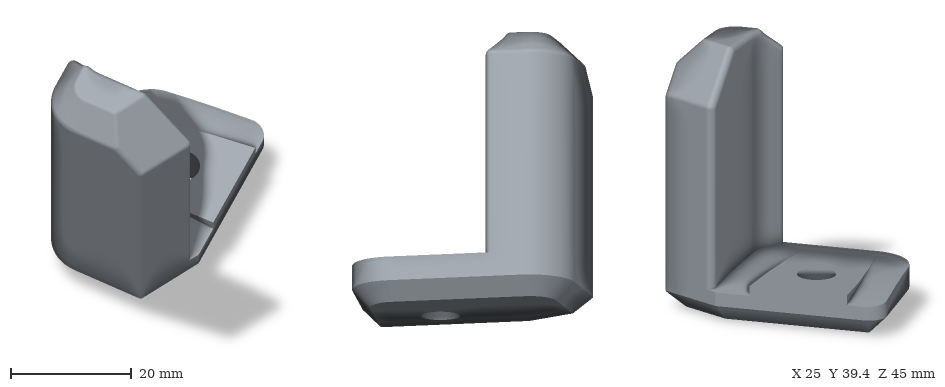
import cadquery as cq
import math

LEFT_X = -15.25
WIDTH = 25.0
RIGHT_X = LEFT_X + WIDTH
PLATE_HEIGHT = 7.0
BEVEL = 3.0
REAR_LEFT_Y = 12.65
FRONT_LEFT_Y = -23.55
SLANT_START_Y = -14.4
SIDE_ANGLE = 4.5
SLANT_ANGLE = 62.0
LEFT_RADIUS = 7.45
REAR_RIGHT_RADIUS = 3.05
HOLE_DIAMETER = 6.5

RAMP_START_X = LEFT_X + 2.15
RAMP_MIDDLE_X = LEFT_X + 14.35
RAMP_DEPTH = 1.65
STRIP_START_HALF = 6.15
STRIP_MIDDLE_HALF = 7.8
STRIP_END_HALF = 8.45

CUTTER_REACH = 45.0

TOTAL_HEIGHT = 45.0
TOP_BEVEL = 4.0
SLANT_BEVEL = 8.0
EDGE_RADIUS = 1.0
BACK_BEND_X = LEFT_X + 6.85
BACK_BEND_Y = -13.65
BACK_RADIUS = 6.0
BACK_END_ANGLE = 40.0

SIDE_SLOPE = math.tan(math.radians(SIDE_ANGLE))
SLANT_SLOPE = math.tan(math.radians(SLANT_ANGLE))
REAR_RIGHT_Y = REAR_LEFT_Y + WIDTH * SIDE_SLOPE
SLANT_END_X = LEFT_X + (SLANT_SLOPE * WIDTH - SLANT_START_Y + FRONT_LEFT_Y) / (SLANT_SLOPE + SIDE_SLOPE)
SLANT_END_Y = FRONT_LEFT_Y - (SLANT_END_X - LEFT_X) * SIDE_SLOPE


def edge_at(x, y):
    """Selector for the upright edge nearest to a point in plan."""
    return cq.selectors.NearestToPointSelector((x, y, TOTAL_HEIGHT / 2))


def plate_prism(height):
    prism = (
        cq.Workplane("XY")
        .polyline([
            (LEFT_X, REAR_LEFT_Y),
            (LEFT_X, FRONT_LEFT_Y),
            (SLANT_END_X, SLANT_END_Y),
            (RIGHT_X, SLANT_START_Y),
            (RIGHT_X, REAR_RIGHT_Y),
        ])
        .close()
        .extrude(height)
    )
    prism = prism.edges("|Z and <X").fillet(LEFT_RADIUS)
    return prism.edges("|Z").edges(edge_at(RIGHT_X, REAR_RIGHT_Y)).fillet(REAR_RIGHT_RADIUS)


def ramp_pocket(side):
    """Space above one sunken ramp; side is +1 for the rear, -1 for the front."""
    length = RIGHT_X - RAMP_START_X
    radius = (length**2 + RAMP_DEPTH**2) / (2 * RAMP_DEPTH)
    middle_drop = radius - math.sqrt(radius**2 - (length / 2)**2)
    plan = (
        cq.Workplane("XY")
        .moveTo(RAMP_START_X, side * STRIP_START_HALF)
        .threePointArc((RAMP_MIDDLE_X, side * STRIP_MIDDLE_HALF), (RIGHT_X, side * STRIP_END_HALF))
        .lineTo(RIGHT_X, side * CUTTER_REACH)
        .lineTo(RAMP_START_X, side * CUTTER_REACH)
        .close()
        .extrude(PLATE_HEIGHT)
    )
    space_above = (
        cq.Workplane("XZ")
        .moveTo(RAMP_START_X, PLATE_HEIGHT)
        .threePointArc(
            (RAMP_START_X + length / 2, PLATE_HEIGHT - middle_drop),
            (RIGHT_X, PLATE_HEIGHT - RAMP_DEPTH),
        )
        .lineTo(RIGHT_X, PLATE_HEIGHT)
        .close()
        .extrude(CUTTER_REACH, both=True)
    )
    return plan.intersect(space_above)


def make_plate():
    plate = plate_prism(PLATE_HEIGHT).faces("<Z").chamfer(BEVEL)
    plate = plate.edges("|Z").edges(edge_at(SLANT_END_X, SLANT_END_Y)).fillet(EDGE_RADIUS)
    for side in (1, -1):
        plate = plate.cut(ramp_pocket(side))
    hole = cq.Workplane("XY").circle(HOLE_DIAMETER / 2).extrude(PLATE_HEIGHT)
    return plate.cut(hole)


def upright_plan():
    """Region in front of the back face: straight, then curving rearwards at the left."""
    start = math.radians(SIDE_ANGLE)
    end = math.radians(BACK_END_ANGLE)
    centre_x = BACK_BEND_X + BACK_RADIUS * math.sin(start)
    centre_y = BACK_BEND_Y + BACK_RADIUS * math.cos(start)

    def on_arc(angle):
        return (centre_x - BACK_RADIUS * math.sin(angle), centre_y - BACK_RADIUS * math.cos(angle))

    curve_end = on_arc(end)
    left_y = curve_end[1] + (curve_end[0] - LEFT_X) * math.tan(end)
    right_y = BACK_BEND_Y - (RIGHT_X - BACK_BEND_X) * SIDE_SLOPE
    return (
        cq.Workplane("XY")
        .moveTo(RIGHT_X, right_y)
        .lineTo(BACK_BEND_X, BACK_BEND_Y)
        .threePointArc(on_arc((start + end) / 2), curve_end)
        .lineTo(LEFT_X, left_y)
        .lineTo(LEFT_X, -CUTTER_REACH)
        .lineTo(RIGHT_X, -CUTTER_REACH)
        .close()
        .extrude(TOTAL_HEIGHT)
    )


def slant_bevel_cutter():
    """Wedge that bevels the top above the slanted side at 45 degrees."""
    plane = cq.Plane(
        origin=(SLANT_END_X, SLANT_END_Y, TOTAL_HEIGHT),
        xDir=(math.sin(math.radians(SLANT_ANGLE)), -math.cos(math.radians(SLANT_ANGLE)), 0),
        normal=(-math.cos(math.radians(SLANT_ANGLE)), -math.sin(math.radians(SLANT_ANGLE)), 0),
    )
    return (
        cq.Workplane(plane)
        .polyline([(-SLANT_BEVEL, 0), (SLANT_BEVEL, 0), (SLANT_BEVEL, -2 * SLANT_BEVEL)])
        .close()
        .extrude(CUTTER_REACH, both=True)
    )


def make_upright():
    upright = plate_prism(TOTAL_HEIGHT).intersect(upright_plan())
    front_middle = ((LEFT_X + SLANT_END_X) / 2, (FRONT_LEFT_Y + SLANT_END_Y) / 2, TOTAL_HEIGHT)
    upright = (
        upright.faces(">Z")
        .edges(cq.selectors.NearestToPointSelector(front_middle))
        .chamfer(TOP_BEVEL)
    )
    upright = upright.cut(slant_bevel_cutter())
    keep = (
        cq.Workplane("XY", origin=(0, 0, BEVEL))
        .rect(2 * CUTTER_REACH, 2 * CUTTER_REACH)
        .extrude(TOTAL_HEIGHT)
    )
    upright = upright.intersect(keep)
    return upright.edges("not <Z").fillet(EDGE_RADIUS)


result = make_plate().union(make_upright())